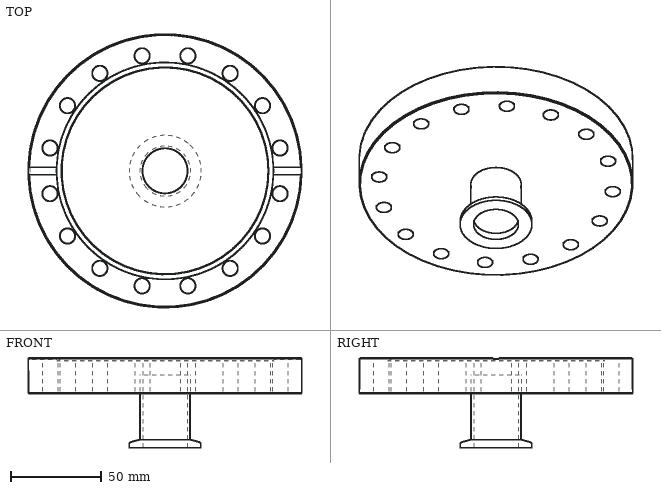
import cadquery as cq

total_height = 50.0

flange_diameter = 152.0
flange_radius = flange_diameter / 2
flange_thickness = 20.0
flange_bottom = total_height - flange_thickness
outer_chamfer = 0.6
bolt_count = 16
bolt_hole_diameter = 8.4
bolt_circle_diameter = 130.3

recess_radius = 120.5 / 2
seat_depth = 1.5
knife_tip_radius = 115.2 / 2
knife_tip_depth = 0.6
floor_radius = 57.3
floor_depth = 1.2

leak_groove_width = 4.3
leak_groove_depth = 0.9

bore_diameter = 25.0
tube_diameter = 28.0
socket_top = total_height - 9.3

clamp_radius = 40.0 / 2
clamp_rim_height = 3.0
clamp_height = 4.5
clamp_neck_radius = 14.3
clamp_edge_radius = 1.5


def cylinder(diameter, bottom, top):
    return cq.Workplane("XY").workplane(offset=bottom).circle(diameter / 2).extrude(top - bottom)


def sealing_recess():
    """Cutter whose seat falls away outward from the knife edge to the recess wall."""
    profile = [
        (0, total_height),
        (recess_radius, total_height),
        (recess_radius, total_height - seat_depth),
        (knife_tip_radius, total_height - knife_tip_depth),
        (floor_radius, total_height - floor_depth),
        (0, total_height - floor_depth),
    ]
    return cq.Workplane("XZ").polyline(profile).close().revolve(360, (0, 0, 0), (0, 1, 0))


def leak_grooves():
    """Circular-section cutter through the top face along the full diameter."""
    half_width = leak_groove_width / 2
    radius = (half_width**2 + leak_groove_depth**2) / (2 * leak_groove_depth)
    center_height = total_height - leak_groove_depth + radius
    return (
        cq.Workplane("YZ")
        .center(0, center_height)
        .circle(radius)
        .extrude(flange_radius, both=True)
    )


def make_bolted_flange():
    body = cylinder(flange_diameter, flange_bottom, total_height)
    body = body.faces("<Z or >Z").edges().chamfer(outer_chamfer)
    body = body.cut(sealing_recess())
    body = body.cut(leak_grooves().cut(cylinder(2 * recess_radius, 0, 2 * total_height)))
    body = body.cut(cylinder(bore_diameter, flange_bottom, total_height))
    body = body.cut(cylinder(tube_diameter, flange_bottom, socket_top))
    pitch = 360 / bolt_count
    bolt_holes = (
        cq.Workplane("XY")
        .workplane(offset=flange_bottom)
        .polarArray(bolt_circle_diameter / 2, pitch / 2, 360, bolt_count)
        .circle(bolt_hole_diameter / 2)
        .extrude(flange_thickness)
    )
    return body.cut(bolt_holes)


def make_tube():
    """Tube seated in the bolted flange socket and standing on the clamp flange."""
    return cylinder(tube_diameter, clamp_height, socket_top).cut(
        cylinder(bore_diameter, clamp_height, socket_top)
    )


def make_clamp_flange():
    """Ring with a straight rim, a rounded shoulder and a conical clamping face."""
    bore_radius = bore_diameter / 2
    profile = [
        (bore_radius, 0),
        (clamp_radius, 0),
        (clamp_radius, clamp_rim_height),
        (clamp_neck_radius, clamp_height),
        (bore_radius, clamp_height),
    ]
    ring = cq.Workplane("XZ").polyline(profile).close().revolve(360, (0, 0, 0), (0, 1, 0))
    margin = clamp_rim_height / 20
    rim_edge = cq.selectors.BoxSelector(
        (-clamp_radius, -clamp_radius, clamp_rim_height - margin),
        (clamp_radius, clamp_radius, clamp_rim_height + margin),
    )
    return ring.edges("%CIRCLE").edges(rim_edge).fillet(clamp_edge_radius)


bolted_flange = make_bolted_flange()
tube = make_tube()
clamp_flange = make_clamp_flange()

result = cq.Compound.makeCompound([bolted_flange.val(), tube.val(), clamp_flange.val()])